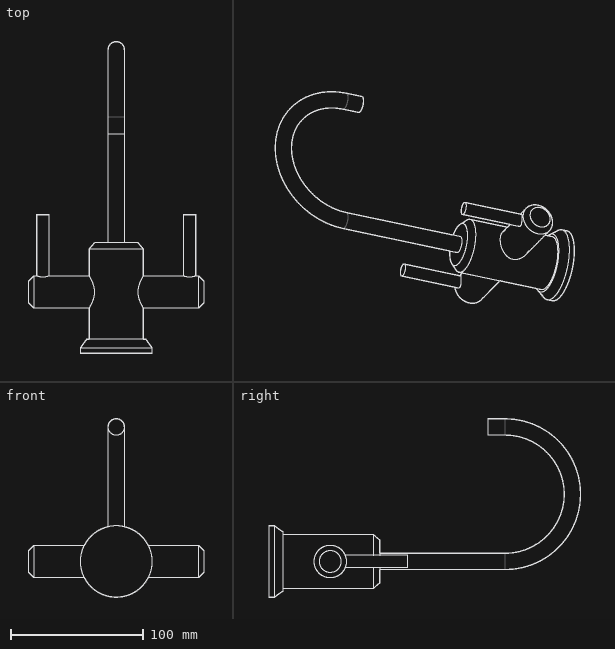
import cadquery as cq

base_radius = 27.0
base_rim_height = 4.2
base_height = 10.8
base_top_radius = 22.4
body_radius = 20.5
body_end = 83.9
body_bevel_length = 5.0
body_bevel_depth = 4.2

crossbar_length = 132.6
crossbar_radius = 12.3
crossbar_y = 46.5
crossbar_bevel = 4.0

lever_radius = 4.7
lever_x = 55.4
lever_end = 104.8

total_length = 235.5
total_height = 135.0
spout_radius = 6.25
outlet_length = 13.0
outlet_z = total_height - base_radius - spout_radius
bend_radius = outlet_z / 2
bend_start = total_length - spout_radius - bend_radius


def make_body():
    return (
        cq.Workplane("XY")
        .moveTo(0, 0)
        .lineTo(base_radius, 0)
        .lineTo(base_radius, base_rim_height)
        .lineTo(base_top_radius, base_height)
        .lineTo(body_radius, base_height)
        .lineTo(body_radius, body_end - body_bevel_length)
        .lineTo(body_radius - body_bevel_depth, body_end)
        .lineTo(0, body_end)
        .close()
        .revolve(360, (0, 0), (0, 1))
    )


def make_crossbar():
    return (
        cq.Workplane("YZ")
        .center(crossbar_y, 0)
        .circle(crossbar_radius)
        .extrude(crossbar_length / 2, both=True)
        .faces("<X or >X")
        .chamfer(crossbar_bevel)
    )


def make_lever(x):
    axis = cq.Vector(0, 1, 0)
    start = cq.Vector(x, crossbar_y, 0)
    return cq.Solid.makeCylinder(lever_radius, lever_end - crossbar_y, start, axis)


def make_spout():
    start_y = body_end / 2
    path = (
        cq.Workplane("YZ")
        .moveTo(start_y, 0)
        .lineTo(bend_start, 0)
        .threePointArc((bend_start + bend_radius, bend_radius), (bend_start, outlet_z))
        .lineTo(bend_start - outlet_length, outlet_z)
    )
    section = cq.Workplane("XZ", origin=(0, start_y, 0)).circle(spout_radius)
    return section.sweep(path)


result = make_body().union(make_crossbar()).union(make_spout())
for side in (-1, 1):
    result = result.union(cq.Workplane(make_lever(side * lever_x)))